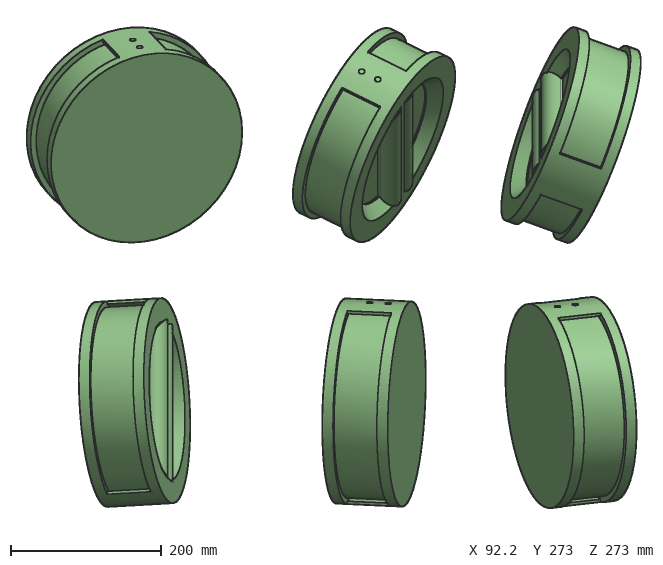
import cadquery as cq

BODY_DIAMETER = 273.0
BODY_LENGTH = 88.7

FLANGE_WIDTH = 14.7
GROOVE_FLOOR_DIAMETER = 257.2
PAD_WIDTH = 66.3
PAD_UNDERSIDE_HEIGHT = 128.3

SEAT_MOUTH_DIAMETER = 210.2
SEAT_BORE_DIAMETER = 177.5
SEAT_BORE_DEPTH = 2.2

RIB_RADIUS = 18.5
RIB_OFFSET = 14.7
RIB_HEIGHT = 3.5
BAR_WIDTH = 7.5

PIN_DIAMETER = 8.0
PIN_POSITIONS = (38.5, 63.3)

BODY_RADIUS = BODY_DIAMETER / 2
SEAT_MOUTH_RADIUS = SEAT_MOUTH_DIAMETER / 2
SEAT_BORE_RADIUS = SEAT_BORE_DIAMETER / 2
CONE_DEPTH = SEAT_MOUTH_RADIUS - SEAT_BORE_RADIUS
SEAT_DEPTH = CONE_DEPTH + SEAT_BORE_DEPTH
GROOVE_WIDTH = BODY_LENGTH - 2 * FLANGE_WIDTH


def disc(diameter, start, length):
    """Cylinder along X, beginning at x = start."""
    return cq.Workplane("YZ", origin=(start, 0, 0)).circle(diameter / 2).extrude(length)


def make_grooved_body():
    body = disc(BODY_DIAMETER, 0, FLANGE_WIDTH)
    body = body.union(disc(GROOVE_FLOOR_DIAMETER, FLANGE_WIDTH, GROOVE_WIDTH))
    body = body.union(disc(BODY_DIAMETER, BODY_LENGTH - FLANGE_WIDTH, FLANGE_WIDTH))
    pad_height = BODY_RADIUS - PAD_UNDERSIDE_HEIGHT
    pad_centre_height = PAD_UNDERSIDE_HEIGHT + pad_height / 2
    rim = disc(BODY_DIAMETER, FLANGE_WIDTH, GROOVE_WIDTH)
    for side in (-1, 1):
        block = cq.Workplane("XY").box(BODY_LENGTH, PAD_WIDTH, pad_height)
        block = block.translate((BODY_LENGTH / 2, 0, side * pad_centre_height))
        body = body.union(rim.intersect(block))
    return body


def make_seat_envelope(overrun):
    """Bore and 45 degree cone, with the cone carried past the seat face by overrun."""
    profile = [
        (-overrun, 0),
        (-overrun, SEAT_MOUTH_RADIUS + overrun),
        (CONE_DEPTH, SEAT_BORE_RADIUS),
        (SEAT_DEPTH, SEAT_BORE_RADIUS),
        (SEAT_DEPTH, 0),
    ]
    return cq.Workplane("XY").polyline(profile).close().revolve(360, (0, 0, 0), (1, 0, 0))


def make_ribs_and_bar():
    rib_centre = RIB_RADIUS - RIB_HEIGHT
    straight_depth = SEAT_DEPTH - rib_centre
    bar = cq.Workplane("XY").box(SEAT_DEPTH, BAR_WIDTH, BODY_DIAMETER)
    bar = bar.translate((SEAT_DEPTH / 2, 0, 0))
    insert = bar
    slot = cq.Workplane("XY").box(BODY_DIAMETER, BAR_WIDTH, BODY_DIAMETER)
    for side in (-1, 1):
        base = cq.Workplane("XY", origin=(rib_centre, side * RIB_OFFSET, -BODY_RADIUS))
        rib = base.circle(RIB_RADIUS).extrude(BODY_DIAMETER)
        skirt = base.center(straight_depth / 2, 0).rect(straight_depth, 2 * RIB_RADIUS)
        rib = rib.union(skirt.extrude(BODY_DIAMETER))
        insert = insert.union(rib.cut(slot))
    return insert.intersect(make_seat_envelope(RIB_HEIGHT))


def make_pins():
    pins = cq.Workplane("XY", origin=(0, 0, PAD_UNDERSIDE_HEIGHT))
    pins = pins.pushPoints([(x, 0) for x in PIN_POSITIONS])
    return pins.circle(PIN_DIAMETER / 2).extrude(BODY_RADIUS - PAD_UNDERSIDE_HEIGHT)


recessed_body = make_grooved_body().cut(make_seat_envelope(0))
result = recessed_body.union(make_ribs_and_bar()).union(make_pins())